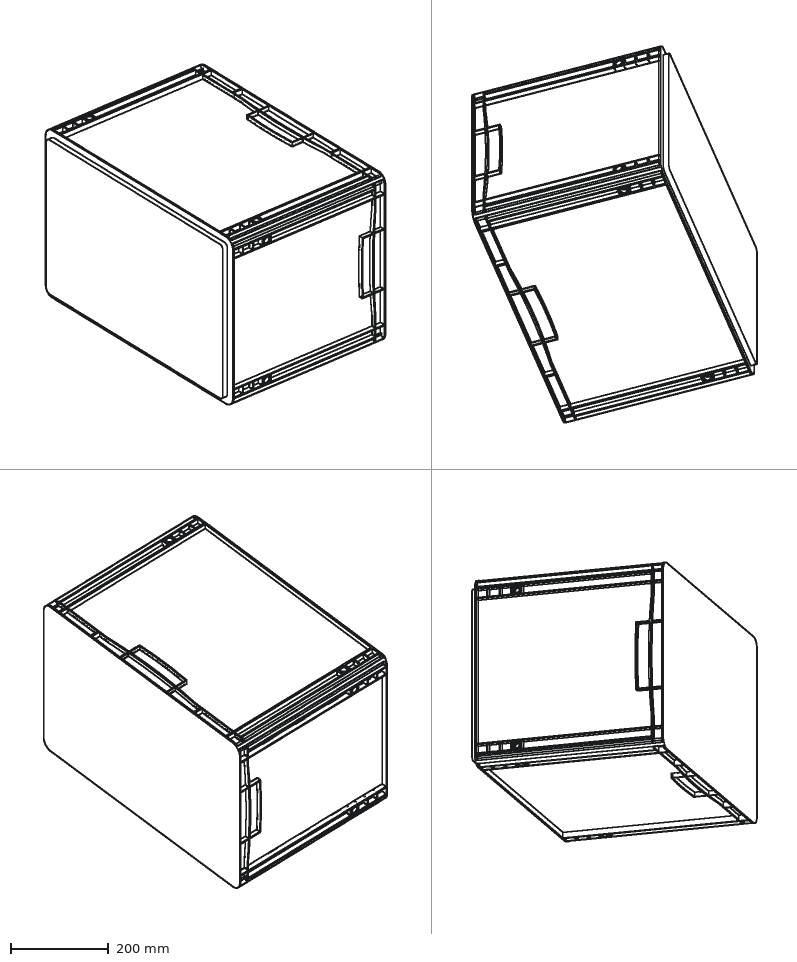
import cadquery as cq
import math

WIDTH = 598.0
HEIGHT = 398.0
LENGTH = 408.0
CORNER_RADIUS = 21.5
PLATE_THICKNESS = 3.5

FOOT_DEPTH = 12.0
FOOT_INSET_X = 17.5
FOOT_INSET_Z = 15.5
FOOT_RADIUS = 9.5

WALL_DEPTH = 12.0
CROSS_RIB_DEPTH = 2.5

NOTCH_SIZE = 20.0
BEAD_GROOVE_SIDE = 15.5
BEAD_GROOVE_DEPTH = 10.0
BEAD_LIP_DEPTH = 7.0
BEAD_START_ANGLE = math.radians(35)

FIN_OFFSET = 21.0
FIN_THICKNESS = 3.0
RAIL_OFFSET = 42.0
RAIL_THICKNESS_WIDE = 4.0
RAIL_THICKNESS_NARROW = 2.5
THIN_RIB = 2.5

CROSS_RIB_START = 24.0
CROSS_RIB_THICKNESS = 2.5
BOW_HALF_SPAN = 131.5
BOW_SAG_RIM_SIDE = 5.0
BOW_SAG_PANEL_SIDE = 6.5

HANDLE_HALF_WIDTH = 72.5
HANDLE_END = 57.5
HANDLE_SAG = 2.5
HANDLE_RIB = 2.5
DIVIDER_OFFSET = 155.0
DIVIDER_THICKNESS = 4.0

CELL_RIB_STARTS = (305.5, 327.0, 352.0, 379.0)
BOSS_FROM_RIM = 317.5
BOSS_RADIUS = 8.5
BOSS_BORE_RADIUS = 6.5


def slab(x0, x1, y0, y1, z0, z1):
    """Box given by its limits along the three axes."""
    return cq.Workplane("XY").box(x1 - x0, y1 - y0, z1 - z0, centered=False).translate((x0, y0, z0))


def rounded_plate(y, thickness, inset, radius):
    """Rounded rectangle across the block, inset from the outer faces, growing toward +Y."""
    inset_x, inset_z = inset
    plate = cq.Workplane("XY").box(WIDTH - 2 * inset_x, thickness, HEIGHT - 2 * inset_z)
    return plate.edges("|Y").fillet(radius).translate((0, y + thickness / 2, 0))


def corner_bead():
    """Dovetail bead at the -X +Z corner, with its crown on the rim radius."""
    def place(from_side, from_top):
        return from_side - WIDTH / 2, HEIGHT / 2 - from_top

    near = CORNER_RADIUS * (1 - math.cos(BEAD_START_ANGLE))
    far = CORNER_RADIUS * (1 - math.sin(BEAD_START_ANGLE))
    crown = CORNER_RADIUS * (1 - math.sqrt(0.5))
    profile = (
        cq.Workplane("XZ")
        .moveTo(*place(NOTCH_SIZE, NOTCH_SIZE))
        .lineTo(*place(BEAD_LIP_DEPTH, NOTCH_SIZE))
        .lineTo(*place(BEAD_GROOVE_DEPTH, BEAD_GROOVE_SIDE))
        .lineTo(*place(near, far))
        .threePointArc(place(crown, crown), place(far, near))
        .lineTo(*place(BEAD_GROOVE_SIDE, BEAD_GROOVE_DEPTH))
        .lineTo(*place(NOTCH_SIZE, BEAD_LIP_DEPTH))
        .close()
    )
    return profile.extrude(-LENGTH)


def core_block():
    """Solid core at wall depth, with a bead in each of its notched long corners."""
    core = slab(
        WALL_DEPTH - WIDTH / 2, WIDTH / 2 - WALL_DEPTH,
        0, LENGTH,
        WALL_DEPTH - HEIGHT / 2, HEIGHT / 2 - WALL_DEPTH,
    )
    notch = slab(-WIDTH / 2, NOTCH_SIZE - WIDTH / 2, 0, LENGTH, HEIGHT / 2 - NOTCH_SIZE, HEIGHT / 2)
    bead = corner_bead()
    for mirror_planes in ((), ("YZ",), ("XY",), ("YZ", "XY")):
        corner_notch, corner_piece = notch, bead
        for plane in mirror_planes:
            corner_notch = corner_notch.mirror(plane)
            corner_piece = corner_piece.mirror(plane)
        core = core.cut(corner_notch).union(corner_piece)
    return core


def bowed_cross_rib(half_width, top):
    """Cross rib from side to side, bowed toward -Y at the middle."""
    y0 = LENGTH - CROSS_RIB_START
    y1 = y0 - CROSS_RIB_THICKNESS
    return (
        cq.Workplane("XY", origin=(0, 0, top - WALL_DEPTH))
        .moveTo(-half_width, y0)
        .lineTo(-BOW_HALF_SPAN, y0)
        .threePointArc((0, y0 - BOW_SAG_RIM_SIDE), (BOW_HALF_SPAN, y0))
        .lineTo(half_width, y0)
        .lineTo(half_width, y1)
        .lineTo(BOW_HALF_SPAN, y1)
        .threePointArc((0, y1 - BOW_SAG_PANEL_SIDE), (-BOW_HALF_SPAN, y1))
        .lineTo(-half_width, y1)
        .close()
        .extrude(WALL_DEPTH - CROSS_RIB_DEPTH)
    )


def handle_frame(top):
    """Handle frame open toward the rim, with a slightly bowed lower bar."""
    def outline(half_width, end):
        return (
            cq.Workplane("XY", origin=(0, 0, top - WALL_DEPTH))
            .moveTo(-half_width, LENGTH - PLATE_THICKNESS)
            .lineTo(-half_width, end)
            .threePointArc((0, end - HANDLE_SAG), (half_width, end))
            .lineTo(half_width, LENGTH - PLATE_THICKNESS)
            .close()
            .extrude(WALL_DEPTH - CROSS_RIB_DEPTH)
        )

    bar_y = LENGTH - HANDLE_END
    outer = outline(HANDLE_HALF_WIDTH, bar_y - HANDLE_RIB)
    return outer.cut(outline(HANDLE_HALF_WIDTH - HANDLE_RIB, bar_y))


def cross_rib_corners():
    """Parts of the cross rib that wrap around the four long corners."""
    y0 = LENGTH - CROSS_RIB_START - CROSS_RIB_THICKNESS
    y1 = LENGTH - CROSS_RIB_START
    inset = (CROSS_RIB_DEPTH, CROSS_RIB_DEPTH)
    plate = rounded_plate(y0, CROSS_RIB_THICKNESS, inset, CORNER_RADIUS - CROSS_RIB_DEPTH)
    upright_gap = slab(-BOW_HALF_SPAN, BOW_HALF_SPAN, y0, y1, -HEIGHT / 2, HEIGHT / 2)
    level_gap = slab(-WIDTH / 2, WIDTH / 2, y0, y1, -BOW_HALF_SPAN, BOW_HALF_SPAN)
    return plate.cut(upright_gap).cut(level_gap)


def edge_ribs(half_width, top, rail_thickness):
    """Fin, rail, small ribs and ring boss along the +X edge of a face."""
    bottom = top - WALL_DEPTH
    fin_outer = half_width - FIN_OFFSET
    fin_inner = fin_outer - FIN_THICKNESS
    rail_outer = half_width - RAIL_OFFSET
    fin_end = LENGTH - CROSS_RIB_START - CROSS_RIB_THICKNESS
    ribs = slab(fin_inner, fin_outer, 0, fin_end, bottom, top)
    ribs = ribs.union(slab(rail_outer - rail_thickness, rail_outer, 0, LENGTH, bottom, top))
    for start in CELL_RIB_STARTS:
        y = LENGTH - start
        ribs = ribs.union(slab(rail_outer, fin_inner, y - THIN_RIB, y, bottom, top))
    boss = (
        cq.Workplane("XY", origin=((fin_inner + rail_outer) / 2, LENGTH - BOSS_FROM_RIM, top - WALL_DEPTH))
        .circle(BOSS_RADIUS)
        .circle(BOSS_BORE_RADIUS)
        .extrude(WALL_DEPTH)
    )
    return ribs.union(boss)


def dividers(top):
    """Short ribs that split the bay behind the rim on a wide face."""
    rib = slab(
        DIVIDER_OFFSET, DIVIDER_OFFSET + DIVIDER_THICKNESS,
        LENGTH - CROSS_RIB_START, LENGTH, top - WALL_DEPTH, top,
    )
    return rib.union(rib.mirror("YZ"))


def face_ribs(half_width, top, rail_thickness):
    """All raised features of one long face, laid out on the +Z side."""
    edge = edge_ribs(half_width, top, rail_thickness)
    ribs = edge.union(edge.mirror("YZ"))
    ribs = ribs.union(bowed_cross_rib(half_width - NOTCH_SIZE, top))
    return ribs.union(handle_frame(top))


wide_ribs = face_ribs(WIDTH / 2, HEIGHT / 2, RAIL_THICKNESS_WIDE).union(dividers(HEIGHT / 2))
narrow_ribs = face_ribs(HEIGHT / 2, WIDTH / 2, RAIL_THICKNESS_NARROW)

body = core_block()
for angle, ribs in (
    (0, wide_ribs),
    (90, narrow_ribs),
    (180, wide_ribs),
    (270, narrow_ribs),
):
    body = body.union(ribs.rotate((0, 0, 0), (0, 1, 0), angle))

base_plate = rounded_plate(0, PLATE_THICKNESS, (0, 0), CORNER_RADIUS)
rim_plate = rounded_plate(LENGTH - PLATE_THICKNESS, PLATE_THICKNESS, (0, 0), CORNER_RADIUS)
foot = rounded_plate(-FOOT_DEPTH, FOOT_DEPTH, (FOOT_INSET_X, FOOT_INSET_Z), FOOT_RADIUS)

result = body.union(base_plate).union(rim_plate).union(cross_rib_corners()).union(foot)